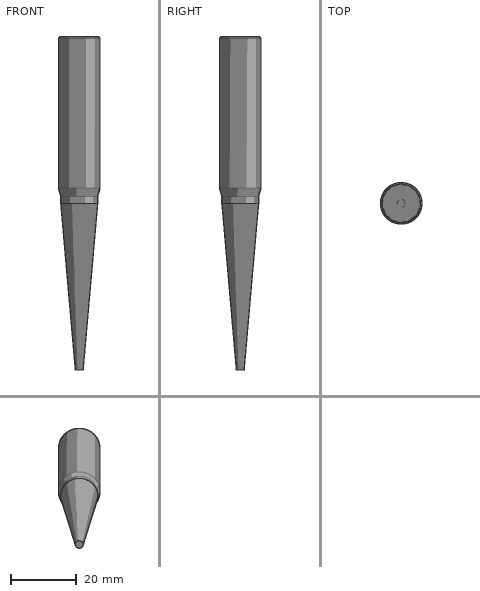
import cadquery as cq
import math

total_length = 101.6
shank_radius = 6.35

tip_length = 50.8
tip_end_radius = 1.2
taper_angle = 5.0
neck_radius = tip_end_radius + tip_length * math.tan(math.radians(taper_angle))

neck_length = 2.0
shoulder_angle = 15.0
shoulder_length = (shank_radius - neck_radius) / math.tan(math.radians(shoulder_angle))

chamfer_size = 0.5


def make_tip():
    """Solid cone frustum, widening upward from its small flat end."""
    return cq.Workplane(
        cq.Solid.makeCone(tip_end_radius, neck_radius, tip_length)
    )


def make_shank():
    """Revolved shank: straight neck, conical shoulder, chamfered cylinder."""
    neck_top = tip_length + neck_length
    shoulder_top = neck_top + shoulder_length

    return (
        cq.Workplane("XZ")
        .moveTo(0, tip_length)
        .lineTo(neck_radius, tip_length)
        .lineTo(neck_radius, neck_top)
        .lineTo(shank_radius, shoulder_top)
        .lineTo(shank_radius, total_length)
        .lineTo(0, total_length)
        .close()
        .revolve(360, (0, 0, 0), (0, 1, 0))
        .faces(">Z")
        .chamfer(chamfer_size)
    )


tip = make_tip()
shank = make_shank()

result = cq.Compound.makeCompound([tip.val(), shank.val()])